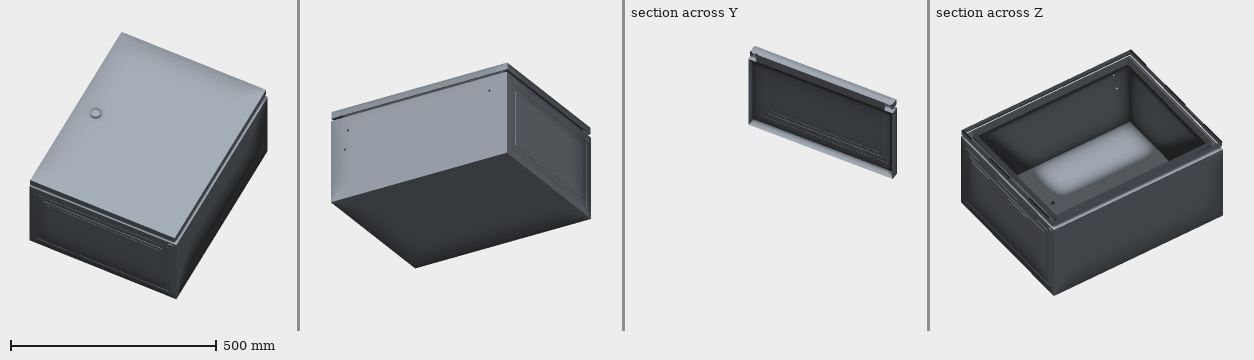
import cadquery as cq
housing_width = 400.0
housing_length = 500.0
housing_height = 224.0
wall = 1.5
front_y = -housing_length / 2

lip_width = 359.5
lip_length = 460.0
lip_corner_radius = 4.5

buffer_diameter = 11.5
buffer_height = 1.5
buffer_x = -189.5
buffer_y = 171.0
hinge_pin_diameter = 2.0
hinge_pin_x = 184.5
hinge_pin_height = 15.0
button_diameter = 16.5
button_x = 185.0
button_z = 209.5
button_height = 502 - housing_length
side_hole_diameter = 5.5
side_holes = [(-201.0, 184.5), (201.0, 184.5), (210.5, 134.5)]

gland_opening_width = 359.5
gland_opening_height = 182.5
gland_plate_recess = 1.0
gland_sheet = 1.0
gland_steps = [(354.5, 175.5, 0.5), (321.5, 147.5, 1.0), (302.0, 127.5, 0.5)]
gland_z = housing_height / 2 - 0.5

door_width = 393.5
door_length = housing_length
door_x = -1.0
door_bottom = 232.0
door_top = 250.0
door_sheet = 1.0
door_flange = 2.5
door_underside = door_top - door_sheet

frame_thickness = 1.5
corner_relief = 11.5
window_width = 346.5
window_length = 454.0
window_waist_width = 330.5
window_waist_length = 338.5

knockout_diameter = 27.0
knockout_y = 190.5
knockout_thickness = 1.0
stud_diameter = 7.5
stud_length = 7.5
stud_x = 137.5
stud_y = -211.0

lock_x = -143.0
knob_diameter = knockout_diameter
knob_top = 254.0
knob_rim = 0.5
knob_groove_depth = 2.0
stem_diameter = 21.0
lock_flange_diameter = 43.0
lock_flange_thickness = 1.0


def block(width, length, height, x, y, bottom):
    """Rectangular block centred on (x, y), rising from the given bottom level."""
    return cq.Workplane("XY", origin=(x, y, bottom)).rect(width, length).extrude(height)


def disc(diameter, height, x, y, bottom):
    """Upright disc centred on (x, y), rising from the given bottom level."""
    return cq.Workplane("XY", origin=(x, y, bottom)).circle(diameter / 2).extrude(height)


def front_block(width, height, rear_y, thickness, z):
    """Block on the X mid-plane whose rear face lies at rear_y and which grows toward -Y."""
    return cq.Workplane("XZ", origin=(0, rear_y, z)).rect(width, height).extrude(thickness)


def make_lip():
    """Rounded tube from the underside of the housing top up to the sealing frame."""
    bottom = housing_height - wall
    height = door_underside - frame_thickness - bottom
    outer = block(lip_width, lip_length, height, 0, 0, bottom)
    return outer.edges("|Z").fillet(lip_corner_radius)


def make_mouth():
    """Opening through the lip and the housing top."""
    bottom = housing_height - wall
    height = door_top - bottom
    opening = block(lip_width - 2 * wall, lip_length - 2 * wall, height, 0, 0, bottom)
    return opening.edges("|Z").fillet(lip_corner_radius - wall)


def make_housing():
    body = block(housing_width, housing_length, housing_height, 0, 0, 0)
    cavity = block(
        housing_width - 2 * wall, housing_length - 2 * wall, housing_height - 2 * wall, 0, 0, wall
    )
    body = body.cut(cavity).union(make_lip()).cut(make_mouth())

    body = body.cut(front_block(gland_opening_width, gland_opening_height, front_y + wall, wall, gland_z))

    for y, z in side_holes:
        hole = cq.Workplane("YZ", origin=(-housing_width / 2, y, z)).circle(side_hole_diameter / 2)
        body = body.cut(hole.extrude(wall))

    for side in (-1, 1):
        y = side * buffer_y
        body = body.union(disc(buffer_diameter, buffer_height, buffer_x, y, housing_height))
        body = body.union(disc(hinge_pin_diameter, hinge_pin_height, hinge_pin_x, y, housing_height))

    button = cq.Workplane("XZ", origin=(button_x, front_y, button_z)).circle(button_diameter / 2)
    return body.union(button.extrude(button_height))


def make_gland_plate():
    """Pressed sheet fitted into the opening, set back from the front, each step hollow behind."""
    face_y = front_y + gland_plate_recess
    rear_y = face_y + gland_sheet
    plate = front_block(gland_opening_width, gland_opening_height, rear_y, gland_sheet, gland_z)
    for width, height, rise in gland_steps:
        step = front_block(width, height, face_y, rise, gland_z)
        hollow = front_block(width - 2 * gland_sheet, height - 2 * gland_sheet, rear_y, rise, gland_z)
        plate = plate.union(step).cut(hollow)
        face_y -= rise
        rear_y -= rise
    return plate


def make_sealing_frame():
    """Flat ring filling the door from flange to window, with a square relief in each corner."""
    bottom = door_underside - frame_thickness
    frame_width = door_width - 2 * door_flange
    frame_length = door_length - 2 * door_flange
    frame = block(frame_width, frame_length, frame_thickness, door_x, 0, bottom)

    end_length = (window_length - window_waist_length) / 2
    end_y = (window_length - end_length) / 2
    frame = frame.cut(block(window_waist_width, window_length, frame_thickness, door_x, 0, bottom))
    for side_y in (-1, 1):
        frame = frame.cut(
            block(window_width, end_length, frame_thickness, door_x, side_y * end_y, bottom)
        )
        for side_x in (-1, 1):
            relief_x = door_x + side_x * (frame_width - corner_relief) / 2
            relief_y = side_y * (frame_length - corner_relief) / 2
            frame = frame.cut(
                block(corner_relief, corner_relief, frame_thickness, relief_x, relief_y, bottom)
            )
    return frame


def make_door():
    door = block(door_width, door_length, door_top - door_bottom, door_x, 0, door_bottom)
    cavity = block(
        door_width - 2 * door_flange,
        door_length - 2 * door_flange,
        door_underside - door_bottom,
        door_x,
        0,
        door_bottom,
    )
    door = door.cut(cavity).union(make_sealing_frame())

    for side_y in (-1, 1):
        knockout_bottom = door_underside - knockout_thickness
        door = door.union(
            disc(knockout_diameter, knockout_thickness, lock_x, side_y * knockout_y, knockout_bottom)
        )

    door = door.union(disc(stud_diameter, stud_length, stud_x, stud_y, door_underside - stud_length))
    return door.cut(disc(stem_diameter, door_sheet, lock_x, 0, door_underside))


def make_lock():
    """Turned profile (radius, height) revolved about the vertical lock axis."""
    knob_radius = knob_diameter / 2
    flange_bottom = door_underside - lock_flange_thickness
    profile = (
        cq.Workplane("XZ", origin=(lock_x, 0, 0))
        .moveTo(0, flange_bottom)
        .lineTo(lock_flange_diameter / 2, flange_bottom)
        .lineTo(lock_flange_diameter / 2, door_underside)
        .lineTo(stem_diameter / 2, door_underside)
        .lineTo(stem_diameter / 2, door_top)
        .lineTo(knob_radius, door_top)
        .lineTo(knob_radius, knob_top)
        .lineTo(knob_radius - knob_rim, knob_top)
        .lineTo(knob_radius - knob_rim, knob_top - knob_groove_depth)
        .lineTo(stem_diameter / 2, knob_top)
        .lineTo(0, knob_top)
        .close()
    )
    return profile.revolve(360, (0, 0, 0), (0, 1, 0))


housing = make_housing()
gland_plate = make_gland_plate()
door = make_door()
lock = make_lock()

result = cq.Compound.makeCompound([housing.val(), gland_plate.val(), door.val(), lock.val()])